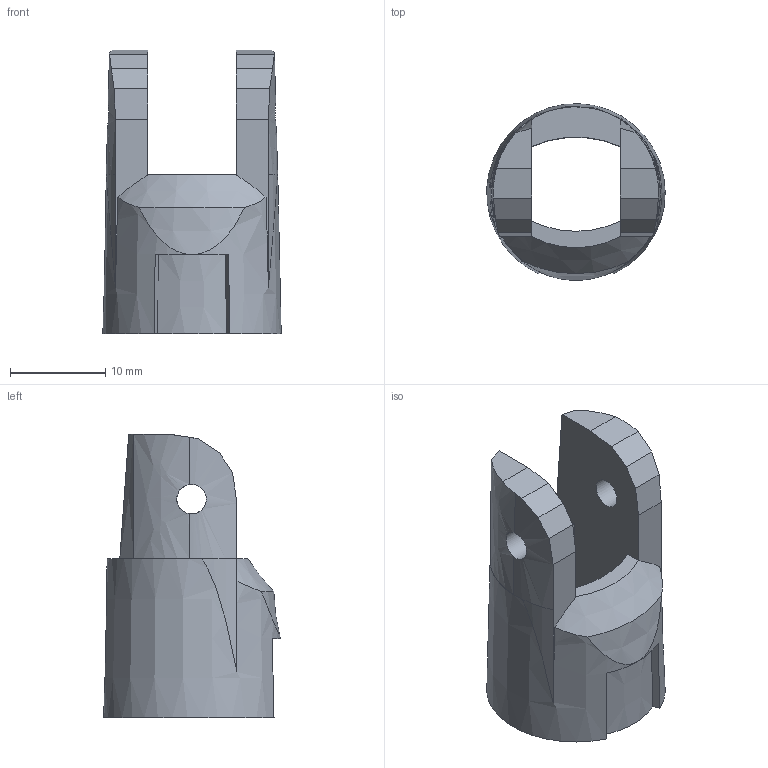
import math

import cadquery as cq

HEIGHT = 29.7
BASE_RADIUS = 9.35
TAPER = 0.0215
SHOULDER_Z = 16.65

SLOT_HALF_WIDTH = 4.65
SLOT_FRONT_Y = -4.05
SLOT_FRONT_CORNER_Y = -2.98
SLOT_BACK_Y = 5.82
SLOT_BACK_CORNER_Y = 4.82

EAR_FRONT_Y = -4.62
EAR_WIDEST_Y = 0.35
EAR_BACK_RADIUS = 9.0
EAR_BASE = {
    "side_x": 8.97,
    "front_x": 8.01,
    "front_radius": 11.2,
    "back_corner": (6.5, 6.17),
    "back_y": 7.65,
}
EAR_TIP = {
    "side_x": 8.63,
    "front_x": 8.0,
    "front_radius": 17.5,
    "back_corner": (6.3, 6.25),
    "back_y": 6.72,
}
BLADE_BOTTOM_Z = 3.0

NOSE_POINTS = [(2.5, HEIGHT), (-0.59, 29.23), (-2.79, 27.76), (-4.16, 25.67), (EAR_FRONT_Y, 22.46)]

PIN_DIAMETER = 3.1
PIN_Y = 0.13
PIN_Z = 22.9

RELIEF_AXIS_Y = 4.0
RELIEF_BOTTOM_Z = 8.3
RELIEF_BEND_Z = 13.2
RELIEF_BEND_RADIUS = 12.48
RELIEF_TOP_RADIUS = 9.77

KEYWAY_HALF_WIDTH = 3.93
KEYWAY_DEPTH = 0.78

CUT_REACH = 20.0


def body_radius(z):
    return BASE_RADIUS - TAPER * z


def make_body():
    return cq.Workplane(cq.Solid.makeCone(BASE_RADIUS, body_radius(SHOULDER_Z), SHOULDER_Z))


def make_relief():
    """Material in front of the ears and outside the two relief cones."""
    bottom_radius = RELIEF_AXIS_Y + body_radius(RELIEF_BOTTOM_Z)
    cones = (
        cq.Workplane("XZ")
        .polyline([
            (0, RELIEF_BOTTOM_Z),
            (bottom_radius, RELIEF_BOTTOM_Z),
            (RELIEF_BEND_RADIUS, RELIEF_BEND_Z),
            (RELIEF_TOP_RADIUS, SHOULDER_Z),
            (0, SHOULDER_Z),
        ])
        .close()
        .revolve(360, (0, 0), (0, 1))
        .translate((0, RELIEF_AXIS_Y, 0))
    )
    block = (
        cq.Workplane("XY", origin=(0, EAR_FRONT_Y, RELIEF_BOTTOM_Z))
        .rect(2 * CUT_REACH, 2 * CUT_REACH)
        .extrude(SHOULDER_Z - RELIEF_BOTTOM_Z)
        .translate((0, -CUT_REACH, 0))
    )
    return block.cut(cones)


def make_keyway():
    half_angle = math.asin(KEYWAY_HALF_WIDTH / BASE_RADIUS)
    reach_x = CUT_REACH * math.sin(half_angle)
    reach_y = CUT_REACH * math.cos(half_angle)
    wedge = (
        cq.Workplane("XY")
        .polyline([(0, 0), (-reach_x, -reach_y), (reach_x, -reach_y)])
        .close()
        .extrude(RELIEF_BOTTOM_Z)
    )
    core = cq.Solid.makeCone(
        BASE_RADIUS - KEYWAY_DEPTH,
        body_radius(RELIEF_BOTTOM_Z) - KEYWAY_DEPTH,
        RELIEF_BOTTOM_Z,
    )
    return wedge.cut(cq.Workplane(core))


def make_slot():
    return (
        cq.Workplane("XY")
        .moveTo(-SLOT_HALF_WIDTH, SLOT_FRONT_CORNER_Y)
        .threePointArc((0, SLOT_FRONT_Y), (SLOT_HALF_WIDTH, SLOT_FRONT_CORNER_Y))
        .lineTo(SLOT_HALF_WIDTH, SLOT_BACK_CORNER_Y)
        .threePointArc((0, SLOT_BACK_Y), (-SLOT_HALF_WIDTH, SLOT_BACK_CORNER_Y))
        .close()
        .extrude(SHOULDER_Z)
    )


def draw_ear_section(plane, section):
    """Closed outline of the +X ear at one height."""
    return (
        plane.moveTo(SLOT_HALF_WIDTH, EAR_FRONT_Y)
        .lineTo(section["front_x"], EAR_FRONT_Y)
        .radiusArc((section["side_x"], EAR_WIDEST_Y), -section["front_radius"])
        .radiusArc(section["back_corner"], -EAR_BACK_RADIUS)
        .lineTo(SLOT_HALF_WIDTH, section["back_y"])
        .close()
    )


def make_nose_cut():
    """Corner removed in front of and above the nose facets."""
    return (
        cq.Workplane("YZ")
        .polyline(NOSE_POINTS + [(-CUT_REACH, NOSE_POINTS[-1][1]), (-CUT_REACH, HEIGHT)])
        .close()
        .extrude(CUT_REACH)
    )


def make_ear():
    """The +X ear, standing on the shoulder."""
    base = draw_ear_section(cq.Workplane("XY", origin=(0, 0, SHOULDER_Z)), EAR_BASE)
    base_and_tip = draw_ear_section(base.workplane(offset=HEIGHT - SHOULDER_Z), EAR_TIP)
    return base_and_tip.loft(ruled=True).cut(make_nose_cut())


def make_blade():
    """The front half of the +X ear carried straight down until it runs into the tapered body."""
    return (
        cq.Workplane("XY", origin=(0, 0, BLADE_BOTTOM_Z))
        .moveTo(SLOT_HALF_WIDTH, EAR_FRONT_Y)
        .lineTo(EAR_BASE["front_x"], EAR_FRONT_Y)
        .radiusArc((EAR_BASE["side_x"], EAR_WIDEST_Y), -EAR_BASE["front_radius"])
        .lineTo(SLOT_HALF_WIDTH, EAR_WIDEST_Y)
        .close()
        .extrude(SHOULDER_Z - BLADE_BOTTOM_Z)
    )


def make_pin_hole():
    return (
        cq.Workplane("YZ", origin=(-CUT_REACH, 0, 0))
        .center(PIN_Y, PIN_Z)
        .circle(PIN_DIAMETER / 2)
        .extrude(2 * CUT_REACH)
    )


body = make_body().cut(make_relief()).cut(make_keyway()).cut(make_slot())
ear = make_ear().union(make_blade())
result = body.union(ear).union(ear.mirror("YZ")).cut(make_pin_hole())